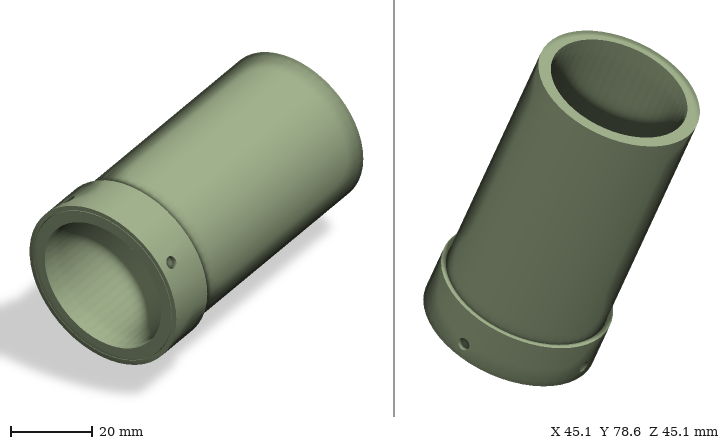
import cadquery as cq


TUBE_LENGTH = 78.61
TUBE_OUTER_DIAMETER = 42.32
TUBE_BORE_DIAMETER = 35.81

COLLAR_LENGTH = 12.7
COLLAR_OUTER_DIAMETER = 45.11
COLLAR_BORE_DIAMETER = 42.57

HOLE_COUNT = 4
HOLE_DIAMETER = 3.25
HOLE_SETBACK = 3.81
FIRST_HOLE_ANGLE = 36.3


def sleeve(outer_diameter, bore_diameter, length):
    """Plain hollow cylinder running from Y = 0 toward +Y."""
    return (
        cq.Workplane("XZ")
        .circle(outer_diameter / 2)
        .circle(bore_diameter / 2)
        .extrude(-length)
    )


def radial_hole(angle):
    """Drill from the Y axis outward through one side of the collar wall."""
    return (
        cq.Workplane("YZ")
        .center(HOLE_SETBACK, 0)
        .circle(HOLE_DIAMETER / 2)
        .extrude(COLLAR_OUTER_DIAMETER)
        .rotate((0, 0, 0), (0, 1, 0), -angle)
    )


def make_collar():
    """Ring with evenly spaced radial holes near its front face."""
    collar = sleeve(COLLAR_OUTER_DIAMETER, COLLAR_BORE_DIAMETER, COLLAR_LENGTH)
    for index in range(HOLE_COUNT):
        angle = FIRST_HOLE_ANGLE + index * 360 / HOLE_COUNT
        collar = collar.cut(radial_hole(angle))
    return collar


tube = sleeve(TUBE_OUTER_DIAMETER, TUBE_BORE_DIAMETER, TUBE_LENGTH)
collar = make_collar()

result = cq.Compound.makeCompound([tube.val(), collar.val()])